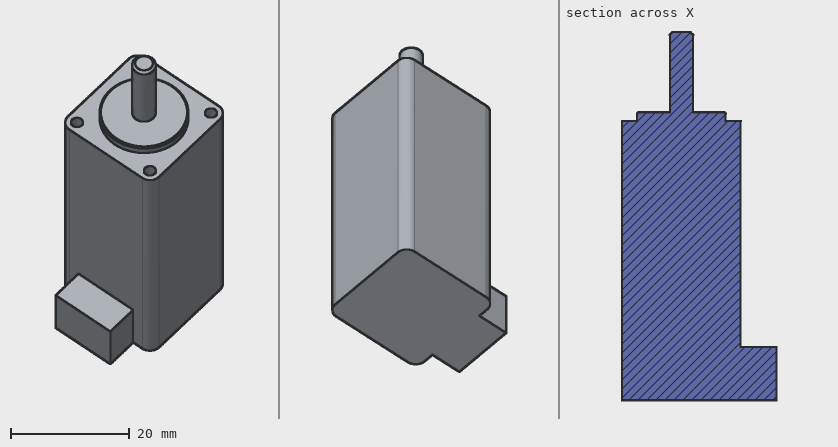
import cadquery as cq

body_width = 20.0
body_height = 47.0
corner_radius = 2.0

pilot_diameter = 15.0
pilot_height = 1.5
pilot_chamfer = 0.25

shaft_diameter = 4.0
shaft_top = 62.0
shaft_chamfer = 0.5

hole_diameter = 2.0
hole_spacing = 16.0
hole_depth = 4.0

connector_width = 12.0
connector_reach = 6.0
connector_height = 9.0

pilot_top = body_height + pilot_height


def make_body():
    body = cq.Workplane("XY").rect(body_width, body_width).extrude(body_height)
    return body.edges("|Z").fillet(corner_radius)


def make_chamfered_cylinder(diameter, bottom, top, chamfer):
    """Cylinder on the motor axis with its top rim chamfered."""
    cylinder = cq.Workplane("XY").workplane(offset=bottom).circle(diameter / 2).extrude(top - bottom)
    return cylinder.faces(">Z").edges().chamfer(chamfer)


def make_connector():
    center_y = -(body_width + connector_reach) / 2
    block = cq.Workplane("XY").center(0, center_y).rect(connector_width, connector_reach)
    return block.extrude(connector_height)


def make_mounting_holes():
    plane = cq.Workplane("XY").workplane(offset=body_height)
    corners = plane.rect(hole_spacing, hole_spacing, forConstruction=True).vertices()
    return corners.circle(hole_diameter / 2).extrude(-hole_depth)


pilot = make_chamfered_cylinder(pilot_diameter, body_height, pilot_top, pilot_chamfer)
shaft = make_chamfered_cylinder(shaft_diameter, pilot_top, shaft_top, shaft_chamfer)

result = make_body().union(pilot).union(shaft).union(make_connector()).cut(make_mounting_holes())